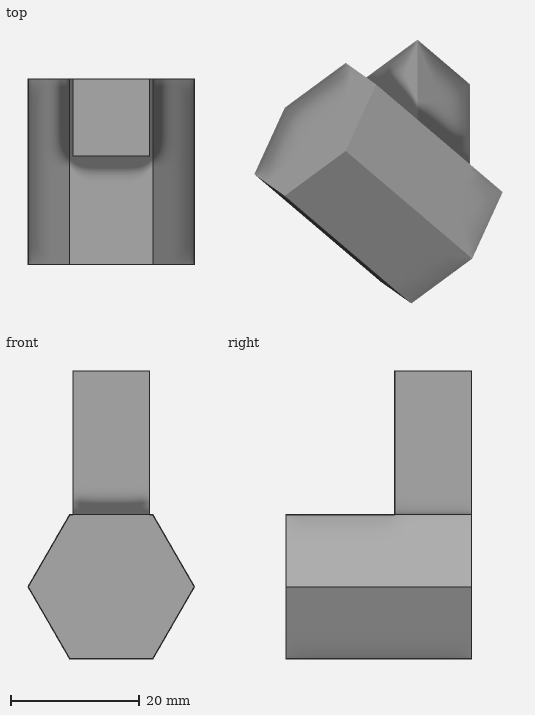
import cadquery as cq
import math

total_height = 44.95
hex_across_corners = 26.0
hex_length = 29.0
post_side = 12.0

hex_across_flats = hex_across_corners * math.cos(math.radians(30))
hex_top = hex_across_flats / 2
post_height = total_height - hex_across_flats

hex_bar = cq.Workplane("XZ").polygon(6, hex_across_corners).extrude(-hex_length)

post_center_y = hex_length - post_side / 2
post = (
    cq.Workplane("XY", origin=(0, post_center_y, hex_top))
    .rect(post_side, post_side)
    .extrude(post_height)
)

result = hex_bar.union(post)